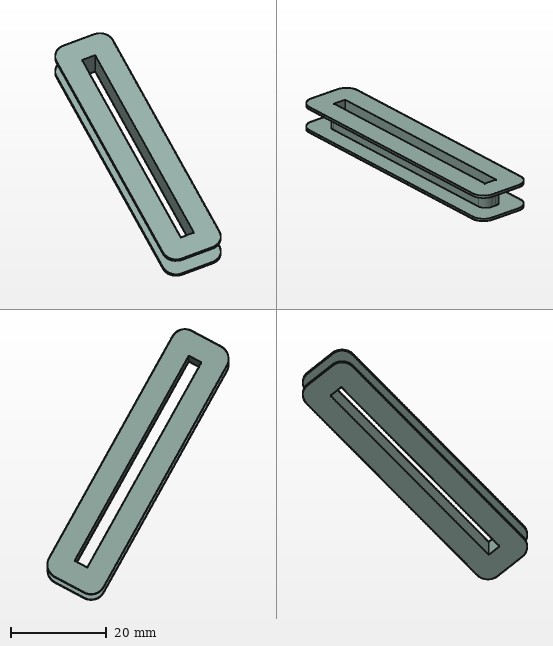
import cadquery as cq

flange_length = 60.0
flange_width = 13.0
flange_corner_radius = 3.0
total_height = 5.98
flange_thickness = 0.6

core_length = 52.0
core_width = 5.0
core_corner_radius = 2.0
core_height = total_height - 2 * flange_thickness

core_wall = 1.0
window_length = core_length - 2 * core_wall
window_width = core_width - 2 * core_wall


def rounded_plate(length, width, height, corner_radius, bottom):
    """Upright plate with rounded vertical edges, centred on the Z axis."""
    return (
        cq.Workplane("XY", origin=(0, 0, bottom))
        .rect(length, width)
        .extrude(height)
        .edges("|Z")
        .fillet(corner_radius)
    )


def flange(bottom):
    return rounded_plate(flange_length, flange_width, flange_thickness, flange_corner_radius, bottom)


core = rounded_plate(core_length, core_width, core_height, core_corner_radius, -core_height / 2)
lower_flange = flange(-total_height / 2)
upper_flange = flange(core_height / 2)
window = cq.Workplane("XY").box(window_length, window_width, total_height)

result = core.union(lower_flange).union(upper_flange).cut(window)